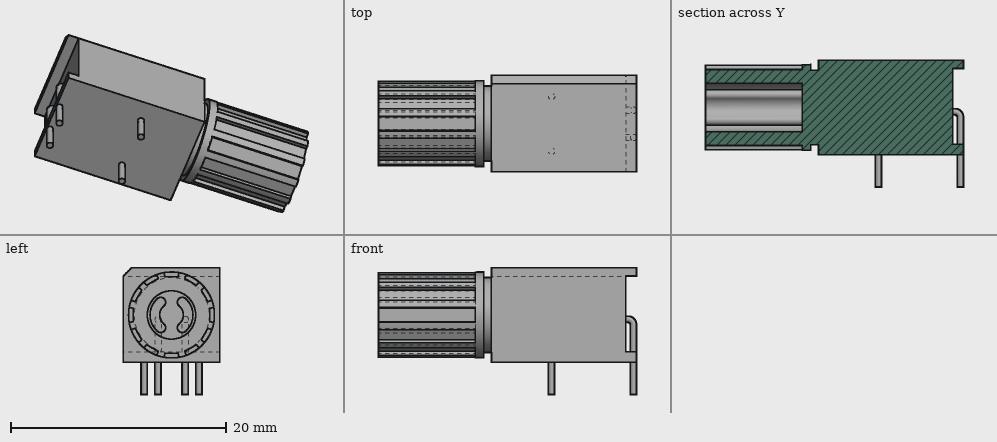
import cadquery as cq
import math

TOTAL_LENGTH = 24.0
HOUSING_START = 10.5
HOUSING_WIDTH = 9.0
HOUSING_HEIGHT = 8.8
HOUSING_CHAMFER = 0.8
AXIS_HEIGHT = HOUSING_HEIGHT / 2

RECESS_DEPTH = 1.0
TOP_LIP = 0.8
BOTTOM_LIP = 1.0

KNOB_DIAMETER = 8.0
KNOB_LENGTH = 9.8
NECK_DIAMETER = 7.0
FLUTE_COUNT = 12
FLUTE_LENGTH = 9.0
FLUTE_FLOOR_RADIUS = 3.55
FLUTE_HALF_ANGLE = math.radians(10)
FLUTE_CUT_CLEARANCE = 1.0

BORE_DIAMETER = 4.5
BORE_DEPTH = 9.0
LUG_OUTER_RADIUS = 2.0
LUG_INNER_RADIUS = 1.1
LUG_HALF_ANGLE = math.radians(50)

PIN_DIAMETER = 0.6
PIN_DROP = 3.0
PIN_PITCH = 2.54
ROW_SPACING = 3 * PIN_PITCH
REAR_PIN_X = TOTAL_LENGTH - PIN_DIAMETER / 2
FRONT_PIN_X = REAR_PIN_X - ROW_SPACING
FRONT_PIN_OFFSET = PIN_PITCH
REAR_PIN_OFFSET = PIN_PITCH / 2
REAR_PIN_EXIT_HEIGHT = 4.0
PIN_BEND_RADIUS = 0.5


def shaft_plane(x):
    """Plane across the shaft axis at x: local x is +Y, local y is +Z, normal is +X."""
    return cq.Workplane("YZ", origin=(x, 0, AXIS_HEIGHT))


def make_housing():
    length = TOTAL_LENGTH - HOUSING_START
    housing = (
        cq.Workplane("XY", origin=(HOUSING_START, 0, 0))
        .box(length, HOUSING_WIDTH, HOUSING_HEIGHT, centered=(False, True, False))
        .edges(">Y and >Z")
        .chamfer(HOUSING_CHAMFER)
    )
    recess_height = HOUSING_HEIGHT - TOP_LIP - BOTTOM_LIP
    recess = cq.Workplane("XY", origin=(TOTAL_LENGTH - RECESS_DEPTH, 0, BOTTOM_LIP)).box(
        RECESS_DEPTH, HOUSING_WIDTH, recess_height, centered=(False, True, False)
    )
    return housing.cut(recess)


def make_flute_cutter():
    """Flat-floored wedge with radial sides, pointing up from the shaft axis."""
    reach = KNOB_DIAMETER / 2 + FLUTE_CUT_CLEARANCE
    slope = math.tan(FLUTE_HALF_ANGLE)
    return (
        shaft_plane(0)
        .polyline([
            (-FLUTE_FLOOR_RADIUS * slope, FLUTE_FLOOR_RADIUS),
            (FLUTE_FLOOR_RADIUS * slope, FLUTE_FLOOR_RADIUS),
            (reach * slope, reach),
            (-reach * slope, reach),
        ])
        .close()
        .extrude(FLUTE_LENGTH)
    )


def make_lug(side):
    """Curved bar with round ends, on the +Y (side = 1) or -Y (side = -1) half of the bore."""
    def polar(radius, angle):
        return (side * radius * math.cos(angle), radius * math.sin(angle))

    middle_radius = (LUG_OUTER_RADIUS + LUG_INNER_RADIUS) / 2
    end_radius = (LUG_OUTER_RADIUS - LUG_INNER_RADIUS) / 2
    tip_radius = math.hypot(middle_radius, end_radius)
    tip_angle = LUG_HALF_ANGLE + math.atan2(end_radius, middle_radius)
    return (
        shaft_plane(0)
        .moveTo(*polar(LUG_OUTER_RADIUS, -LUG_HALF_ANGLE))
        .threePointArc(polar(LUG_OUTER_RADIUS, 0), polar(LUG_OUTER_RADIUS, LUG_HALF_ANGLE))
        .threePointArc(polar(tip_radius, tip_angle), polar(LUG_INNER_RADIUS, LUG_HALF_ANGLE))
        .threePointArc(polar(LUG_INNER_RADIUS, 0), polar(LUG_INNER_RADIUS, -LUG_HALF_ANGLE))
        .threePointArc(polar(tip_radius, -tip_angle), polar(LUG_OUTER_RADIUS, -LUG_HALF_ANGLE))
        .close()
        .extrude(BORE_DEPTH)
    )


def make_knob():
    knob = shaft_plane(0).circle(KNOB_DIAMETER / 2).extrude(KNOB_LENGTH)
    neck = shaft_plane(KNOB_LENGTH).circle(NECK_DIAMETER / 2).extrude(HOUSING_START - KNOB_LENGTH)
    flute = make_flute_cutter()
    axis_start = (0, 0, AXIS_HEIGHT)
    axis_end = (1, 0, AXIS_HEIGHT)
    for index in range(FLUTE_COUNT):
        knob = knob.cut(flute.rotate(axis_start, axis_end, index * 360 / FLUTE_COUNT))
    knob = knob.cut(shaft_plane(0).circle(BORE_DIAMETER / 2).extrude(BORE_DEPTH))
    for side in (-1, 1):
        knob = knob.union(make_lug(side))
    return knob.union(neck)


def make_front_pin(y):
    return (
        cq.Workplane("XY", origin=(FRONT_PIN_X, y, -PIN_DROP))
        .circle(PIN_DIAMETER / 2)
        .extrude(PIN_DROP)
    )


def make_rear_pin(y):
    """Pin that leaves the recess wall, bends down and passes through the bottom lip."""
    bend_start_x = REAR_PIN_X - PIN_BEND_RADIUS
    bend_end_z = REAR_PIN_EXIT_HEIGHT - PIN_BEND_RADIUS
    wall_x = TOTAL_LENGTH - RECESS_DEPTH
    bend_middle = (
        bend_start_x + PIN_BEND_RADIUS * math.sin(math.pi / 4),
        bend_end_z + PIN_BEND_RADIUS * math.cos(math.pi / 4),
    )
    path = (
        cq.Workplane("XZ", origin=(0, y, 0))
        .moveTo(wall_x, REAR_PIN_EXIT_HEIGHT)
        .lineTo(bend_start_x, REAR_PIN_EXIT_HEIGHT)
        .threePointArc(bend_middle, (REAR_PIN_X, bend_end_z))
        .lineTo(REAR_PIN_X, -PIN_DROP)
    )
    section = cq.Workplane("YZ", origin=(wall_x, y, REAR_PIN_EXIT_HEIGHT)).circle(PIN_DIAMETER / 2)
    return section.sweep(path)


result = make_housing().union(make_knob())
for side in (-1, 1):
    result = result.union(make_front_pin(side * FRONT_PIN_OFFSET))
    result = result.union(make_rear_pin(side * REAR_PIN_OFFSET))